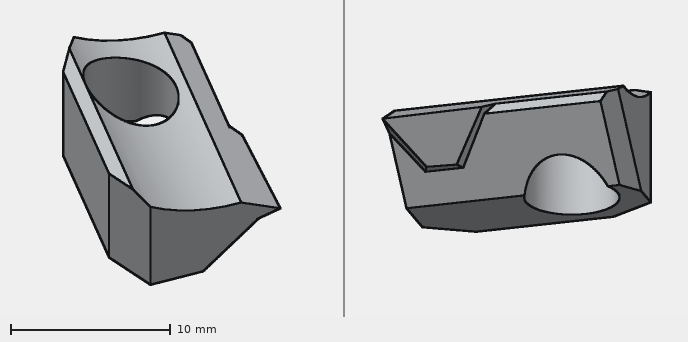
import cadquery as cq
import math

LENGTH = 15.0
HEIGHT = 8.0
LEFT_X = -LENGTH / 2
RIGHT_X = LENGTH / 2

LAND_DEPTH = 1.0
SCOOP_RADIUS = 10.0
SCOOP_AXIS_Y = 7.45
SCOOP_END_Y = 7.75
SLOPE_ANGLE = math.radians(30)
BACK_Y = 9.35
BASE_DEPTH = 5.22
SCOOP_AXIS_Z = HEIGHT + math.sqrt(SCOOP_RADIUS**2 - (SCOOP_AXIS_Y - LAND_DEPTH)**2)

FRONT_CORNER_LENGTH = 3.0
FRONT_CORNER_ANGLE = math.radians(30)
FRONT_CORNER_DEPTH = FRONT_CORNER_LENGTH * math.tan(FRONT_CORNER_ANGLE)
UNDERSIDE_CHAMFER = 1.0

HOLE_DIAMETER = 6.0
HOLE_X = LEFT_X + 4.5
HOLE_Y = 4.0

TOOTH_X = RIGHT_X - 3.0
TOOTH_BOTTOM_Z = 1.65
TOOTH_BOTTOM_WIDTH = 2.0
TOOTH_TIP_Y = 10.36
TOOTH_LEFT_Y = 10.0
TOOTH_LEFT_X = LEFT_X + 8.6
TOOTH_ROOT_X = LEFT_X + 7.9
TOOTH_BLANK_MARGIN = 1.0

TRIM_SIZE = 60.0


def scoop_z(y):
    """Height of the scoop surface at depth y."""
    return SCOOP_AXIS_Z - math.sqrt(SCOOP_RADIUS**2 - (y - SCOOP_AXIS_Y)**2)


def slope_z(y):
    """Height of the slope behind the scoop at depth y."""
    return scoop_z(SCOOP_END_Y) - (y - SCOOP_END_Y) * math.tan(SLOPE_ANGLE)


def trim(solid, point, normal):
    """Remove everything on the side of the plane that the normal points to."""
    block = cq.Workplane(cq.Plane(origin=point, normal=normal)).rect(TRIM_SIZE, TRIM_SIZE)
    return solid.cut(block.extrude(TRIM_SIZE))


def side_profile():
    """Sketch plane for profiles that are extruded along the whole length."""
    return cq.Workplane("YZ", origin=(LEFT_X, 0, 0))


def make_body():
    scoop_middle_y = (LAND_DEPTH + SCOOP_END_Y) / 2
    profile = (
        side_profile()
        .moveTo(0, 0)
        .lineTo(0, HEIGHT)
        .lineTo(LAND_DEPTH, HEIGHT)
        .threePointArc((scoop_middle_y, scoop_z(scoop_middle_y)), (SCOOP_END_Y, scoop_z(SCOOP_END_Y)))
        .lineTo(BACK_Y, slope_z(BACK_Y))
        .lineTo(BACK_Y, BACK_Y - BASE_DEPTH)
        .lineTo(BASE_DEPTH, 0)
        .close()
    )
    return profile.extrude(LENGTH)


def chamfer_underside(body):
    """Bevel the edge between the left end and the 45 degree underside, equally on both."""
    start = (LEFT_X, BASE_DEPTH - UNDERSIDE_CHAMFER * math.sqrt(2), 0)
    return trim(body, start, (-math.sqrt(2), 1, -1))


def make_tooth():
    blank_y = TOOTH_TIP_Y + TOOTH_BLANK_MARGIN
    inner_offset = BACK_Y - slope_z(BACK_Y)
    blank = (
        side_profile()
        .moveTo(BACK_Y, slope_z(BACK_Y))
        .lineTo(blank_y, slope_z(blank_y))
        .lineTo(blank_y, TOOTH_BOTTOM_Z)
        .lineTo(TOOTH_BOTTOM_Z + inner_offset, TOOTH_BOTTOM_Z)
        .close()
        .extrude(LENGTH)
    )

    left_top = cq.Vector(TOOTH_LEFT_X, TOOTH_LEFT_Y, slope_z(TOOTH_LEFT_Y))
    tip = cq.Vector(RIGHT_X, TOOTH_TIP_Y, slope_z(TOOTH_TIP_Y))
    outer_normal = cq.Vector(0, 1, 1).cross(tip - left_top)
    tooth = trim(blank, tip, outer_normal)

    root = cq.Vector(TOOTH_ROOT_X, BACK_Y, slope_z(BACK_Y))
    bottom_x = TOOTH_X - TOOTH_BOTTOM_WIDTH / 2
    bottom_y = TOOTH_TIP_Y - (
        outer_normal.x * (bottom_x - tip.x) + outer_normal.z * (TOOTH_BOTTOM_Z - tip.z)
    ) / outer_normal.y
    bottom = cq.Vector(bottom_x, bottom_y, TOOTH_BOTTOM_Z)
    flank_normal = (bottom - left_top).cross(root - left_top)
    mirrored_root = cq.Vector(2 * TOOTH_X - root.x, root.y, root.z)
    mirrored_normal = cq.Vector(-flank_normal.x, flank_normal.y, flank_normal.z)
    tooth = trim(tooth, root, flank_normal)
    return trim(tooth, mirrored_root, mirrored_normal)


def cut_front_corners(body):
    for end_x, inward in ((LEFT_X, 1), (RIGHT_X, -1)):
        corner = [(end_x, 0), (end_x, FRONT_CORNER_DEPTH), (end_x + inward * FRONT_CORNER_LENGTH, 0)]
        body = body.cut(cq.Workplane("XY").polyline(corner).close().extrude(HEIGHT))
    return body


def cut_hole(body):
    return body.cut(cq.Workplane("XY").center(HOLE_X, HOLE_Y).circle(HOLE_DIAMETER / 2).extrude(HEIGHT))


result = chamfer_underside(make_body()).union(make_tooth())
result = cut_hole(cut_front_corners(result))